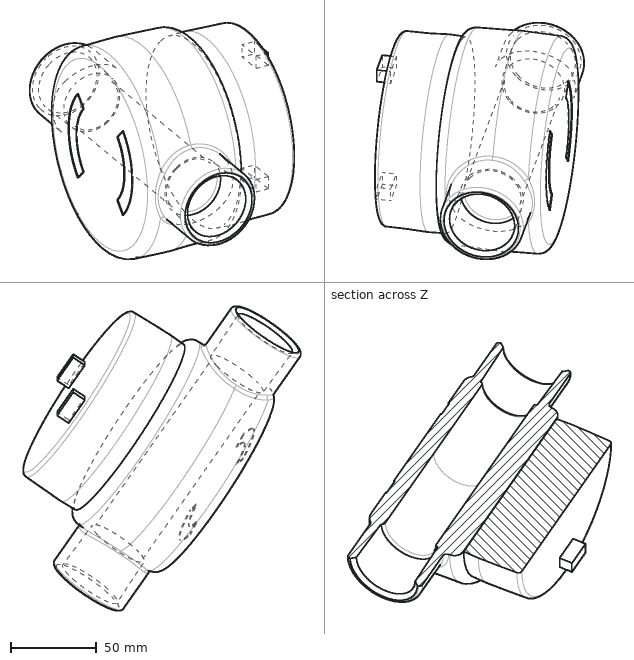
import cadquery as cq
import math


OVERALL_LENGTH = 187.3
OVERALL_DEPTH = 107.1

HOUSING_MAX_RADIUS = 129.5 / 2
HOUSING_FRONT_Y = -28.0
HOUSING_BACK_Y = 33.9
HOUSING_DRAFT = 1.6
HOUSING_FILLET = 6.4

HUB_DIAMETER = 49.3
HUB_ROOT_FILLET = 2.35
HUB_LIP_FILLET = 1.7
ROOT_BAND_DEPTH = 15.0
MOUTH_DIAMETER = 44.4
MOUTH_DEPTH = 2.5
SOCKET_START_DIAMETER = 38.8
SOCKET_END_DIAMETER = 37.3
SOCKET_DEPTH = 31.8
BORE_DIAMETER = 33.9
BORE_ENTRY_FILLET = (SOCKET_END_DIAMETER - BORE_DIAMETER) / 2

LABEL_OUTER_RADIUS = 39.0
LABEL_INNER_RADIUS = 29.2
LABEL_HALF_ANGLE = 45.0
LABEL_DEPTH = 0.5

COVER_SEAT_RADIUS = 57.9
COVER_MAX_RADIUS = 58.3
COVER_PARTING_Y = 43.6
COVER_BACK_RADIUS = 57.5
COVER_BACK_Y = 71.0
COVER_FILLET = 2.2

LUG_END_Y = HOUSING_FRONT_Y + OVERALL_DEPTH
LUG_WIDTH = 16.9
LUG_THICKNESS = 8.0
LUG_CENTER_Z = 40.5


def revolve_about_y(points):
    """Revolve a (radius, y) outline about the box axis, with its seam on -Z, clear of the hubs."""
    solid = cq.Workplane("XY").polyline(points).close().revolve(360, (0, 0, 0), (0, 1, 0))
    return solid.rotate((0, 0, 0), (0, 1, 0), 90)


def housing_shell():
    """Barrel-shaped drum, widest at the parting plane and rounded at both ends."""
    slope = math.tan(math.radians(HOUSING_DRAFT))
    front_radius = HOUSING_MAX_RADIUS + HOUSING_FRONT_Y * slope
    back_radius = HOUSING_MAX_RADIUS - HOUSING_BACK_Y * slope
    drum = revolve_about_y([
        (0, HOUSING_FRONT_Y),
        (front_radius, HOUSING_FRONT_Y),
        (HOUSING_MAX_RADIUS, 0),
        (back_radius, HOUSING_BACK_Y),
        (0, HOUSING_BACK_Y),
    ])
    return drum.faces("<Y or >Y").edges().fillet(HOUSING_FILLET)


def add_hubs(drum):
    """Join the two pipe hubs to the drum, with rounded roots and lips."""
    hubs = cq.Workplane("YZ").circle(HUB_DIAMETER / 2).extrude(OVERALL_LENGTH / 2, both=True)
    hubs = hubs.faces("<X or >X").edges().fillet(HUB_LIP_FILLET)
    joined = drum.union(hubs)
    band_start = HOUSING_MAX_RADIUS - ROOT_BAND_DEPTH
    band_end = HOUSING_MAX_RADIUS + HUB_ROOT_FILLET
    reach = HUB_DIAMETER
    root_edges = joined.edges(
        cq.selectors.BoxSelector((band_start, -reach, -reach), (band_end, reach, reach), boundingbox=True)
        + cq.selectors.BoxSelector((-band_end, -reach, -reach), (-band_start, reach, reach), boundingbox=True)
    )
    return root_edges.fillet(HUB_ROOT_FILLET)


def hub_passage():
    """Through bore with a rounded entry, a tapered socket and a wide conical mouth at each end."""
    mouth_x = OVERALL_LENGTH / 2
    socket_x = mouth_x - MOUTH_DEPTH
    shoulder_x = mouth_x - SOCKET_DEPTH
    bore_radius = BORE_DIAMETER / 2
    entry_x = shoulder_x - BORE_ENTRY_FILLET
    arc_offset = BORE_ENTRY_FILLET * (1 - math.sqrt(0.5))
    arc_middle = (shoulder_x - arc_offset, bore_radius + arc_offset)
    half = (
        cq.Workplane("XY")
        .moveTo(0, 0)
        .lineTo(0, bore_radius)
        .lineTo(entry_x, bore_radius)
        .threePointArc(arc_middle, (shoulder_x, SOCKET_END_DIAMETER / 2))
        .lineTo(socket_x, SOCKET_START_DIAMETER / 2)
        .lineTo(mouth_x, MOUTH_DIAMETER / 2)
        .lineTo(mouth_x, 0)
        .close()
        .revolve(360, (0, 0, 0), (1, 0, 0))
    )
    return half.union(half.mirror("YZ"))


def label_recess(direction):
    """Shallow arc-shaped recess centred on the X axis, at the angle `direction` in degrees."""
    def polar(radius, angle):
        turn = math.radians(direction + angle)
        return (radius * math.cos(turn), radius * math.sin(turn))

    return (
        cq.Workplane("XZ", origin=(0, HOUSING_FRONT_Y + LABEL_DEPTH, 0))
        .moveTo(*polar(LABEL_INNER_RADIUS, -LABEL_HALF_ANGLE))
        .lineTo(*polar(LABEL_OUTER_RADIUS, -LABEL_HALF_ANGLE))
        .threePointArc(polar(LABEL_OUTER_RADIUS, 0), polar(LABEL_OUTER_RADIUS, LABEL_HALF_ANGLE))
        .lineTo(*polar(LABEL_INNER_RADIUS, LABEL_HALF_ANGLE))
        .threePointArc(polar(LABEL_INNER_RADIUS, 0), polar(LABEL_INNER_RADIUS, -LABEL_HALF_ANGLE))
        .close()
        .extrude(LABEL_DEPTH)
    )


def make_housing():
    body = add_hubs(housing_shell()).cut(hub_passage())
    for direction in (0, 180):
        body = body.cut(label_recess(direction))
    return body


def make_cover():
    """Cover seated on the housing, tapering away from its parting line, with two wrench lugs."""
    cap = revolve_about_y([
        (0, HOUSING_BACK_Y),
        (COVER_SEAT_RADIUS, HOUSING_BACK_Y),
        (COVER_MAX_RADIUS, COVER_PARTING_Y),
        (COVER_BACK_RADIUS, COVER_BACK_Y),
        (0, COVER_BACK_Y),
    ])
    cap = cap.faces(">Y").edges().fillet(COVER_FILLET)
    lug_length = LUG_END_Y - COVER_BACK_Y
    for side in (-1, 1):
        lug = cq.Workplane("XY").box(LUG_WIDTH, lug_length, LUG_THICKNESS, centered=(True, False, True))
        cap = cap.union(lug.translate((0, COVER_BACK_Y, side * LUG_CENTER_Z)))
    return cap


housing = make_housing()
cover = make_cover()

result = cq.Compound.makeCompound([housing.val(), cover.val()])